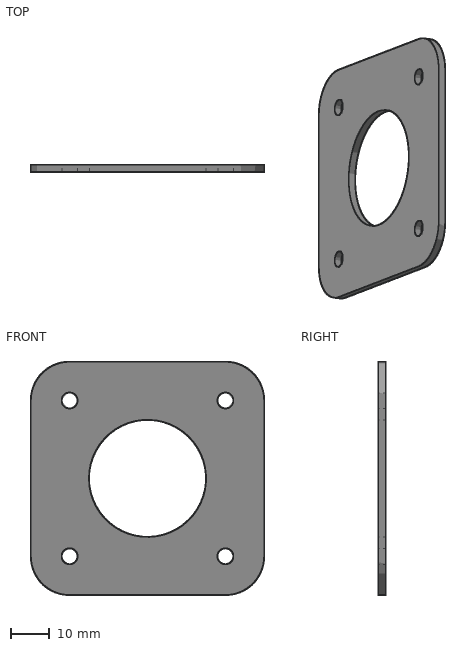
import cadquery as cq

plate_side = 60.0
plate_thickness = 2.0
corner_radius = plate_side / 6

bore_diameter = plate_side / 2
mount_hole_diameter = 4.0
mount_hole_spacing = plate_side - 2 * corner_radius

plate = (
    cq.Workplane("XZ")
    .box(plate_side, plate_side, plate_thickness)
    .edges("|Y")
    .fillet(corner_radius)
)

bored_plate = plate.faces("<Y").workplane().hole(bore_diameter)

result = (
    bored_plate.faces("<Y")
    .workplane(centerOption="CenterOfBoundBox")
    .rect(mount_hole_spacing, mount_hole_spacing, forConstruction=True)
    .vertices()
    .hole(mount_hole_diameter)
)